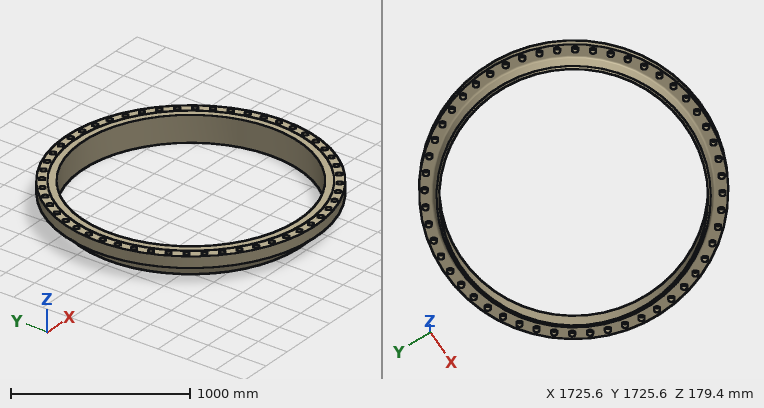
import cadquery as cq
import math

INCH = 25.4

flange_diameter = (67 + 15 / 16) * INCH
flange_thickness = 3 * INCH
raised_face_diameter = 63 * INCH
raised_face_height = INCH / 16

bolt_count = 52
bolt_circle_diameter = (65 + 7 / 16) * INCH
bolt_hole_diameter = (1 + 3 / 8) * INCH

overall_length = (7 + 1 / 16) * INCH
hub_base_diameter = (61 + 13 / 16) * INCH
hub_fillet_radius = INCH / 2
hub_end_diameter = (60 + 1 / 4) * INCH
hub_end_wall = 5 / 8 * INCH
weld_land = INCH / 16
weld_bevel_angle = 37.5

hub_end_radius = hub_end_diameter / 2
bore_radius = hub_end_radius - hub_end_wall
land_radius = bore_radius + weld_land
hub_base_radius = hub_base_diameter / 2
flange_radius = flange_diameter / 2
raised_face_radius = raised_face_diameter / 2
bevel_height = (hub_end_radius - land_radius) * math.tan(math.radians(weld_bevel_angle))
flange_top_z = -raised_face_height
flange_bottom_z = -flange_thickness
weld_end_z = -overall_length
bevel_top_z = weld_end_z + bevel_height


def make_ring():
    """Revolve the half section of flange, hub and bevel about Z."""
    section = [
        (bore_radius, 0),
        (raised_face_radius, 0),
        (raised_face_radius, flange_top_z),
        (flange_radius, flange_top_z),
        (flange_radius, flange_bottom_z),
        (hub_base_radius, flange_bottom_z),
        (hub_end_radius, bevel_top_z),
        (land_radius, weld_end_z),
        (bore_radius, weld_end_z),
    ]
    return cq.Workplane("XZ").polyline(section).close().revolve(360, (0, 0, 0), (0, 1, 0))


def fillet_hub_base(ring):
    """Round the inner corner where the hub meets the underside of the flange."""
    flange_underside = ring.faces("%PLANE").faces("<Z[-2]")
    hub_corner = flange_underside.edges(cq.selectors.RadiusNthSelector(0))
    return hub_corner.fillet(hub_fillet_radius)


def make_bolt_holes():
    """Cylinders on the bolt circle, long enough to pass through the flange."""
    return (
        cq.Workplane("XY")
        .polarArray(bolt_circle_diameter / 2, 0, 360, bolt_count)
        .circle(bolt_hole_diameter / 2)
        .extrude(-flange_thickness)
    )


result = fillet_hub_base(make_ring()).cut(make_bolt_holes())